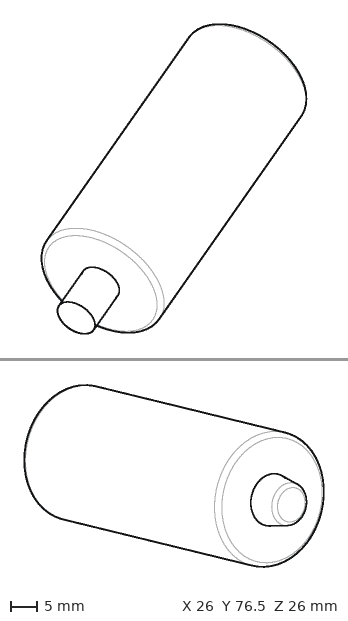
import cadquery as cq

can_diameter = 26.0
can_length = 60.5
can_fillet = 1.0

boss_base_diameter = 10.0
boss_tip_diameter = 8.0
boss_length = 6.0
boss_fillet = 0.85

lead_diameter = 8.0

overall_length = 76.5
lead_length = overall_length - can_length - boss_length

lead_tip_y = -overall_length / 2
can_front_y = lead_tip_y + lead_length
can_back_y = can_front_y + can_length


def plane_facing_back(y):
    """Plane square to the Y axis at the given station, with its normal toward +Y."""
    return cq.Plane(origin=(0, y, 0), xDir=(1, 0, 0), normal=(0, 1, 0))


def make_can():
    """Cylinder with both end rims rounded."""
    can = cq.Workplane(plane_facing_back(can_front_y)).circle(can_diameter / 2).extrude(can_length)
    return can.faces("<Y or >Y").edges().fillet(can_fillet)


def make_boss():
    """Cone frustum that narrows toward +Y, with its tip rim rounded."""
    boss = (
        cq.Workplane(plane_facing_back(can_back_y))
        .circle(boss_base_diameter / 2)
        .workplane(offset=boss_length)
        .circle(boss_tip_diameter / 2)
        .loft(ruled=True)
    )
    return boss.faces(">Y").edges().fillet(boss_fillet)


def make_case():
    """Can and boss as one solid."""
    return make_can().union(make_boss())


def make_lead():
    """Round pin that butts against the front face of the case."""
    return cq.Workplane(plane_facing_back(lead_tip_y)).circle(lead_diameter / 2).extrude(lead_length)


case = make_case()
lead = make_lead()

result = cq.Compound.makeCompound([case.val(), lead.val()])